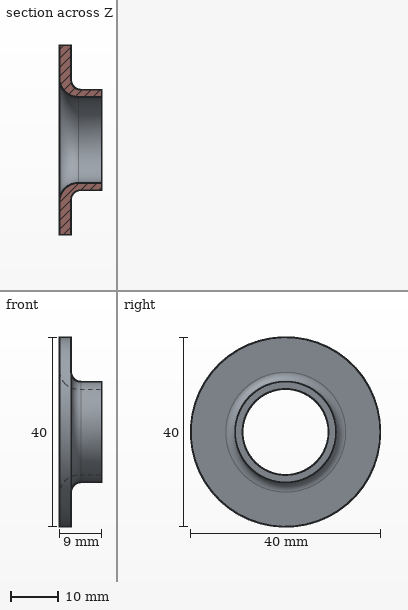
import cadquery as cq

flange_diameter = 40.0
flange_thickness = 2.5
total_length = 9.0
tube_diameter = 21.3
bore_diameter = 18.1
mouth_radius = 4.0
neck_fillet = 2.0

flange_radius = flange_diameter / 2
tube_radius = tube_diameter / 2
bore_radius = bore_diameter / 2

half_section = (
    cq.Workplane("XY")
    .moveTo(0, bore_radius + mouth_radius)
    .lineTo(0, flange_radius)
    .lineTo(flange_thickness, flange_radius)
    .lineTo(flange_thickness, tube_radius + neck_fillet)
    .radiusArc((flange_thickness + neck_fillet, tube_radius), -neck_fillet)
    .lineTo(total_length, tube_radius)
    .lineTo(total_length, bore_radius)
    .lineTo(mouth_radius, bore_radius)
    .radiusArc((0, bore_radius + mouth_radius), mouth_radius)
    .close()
)

result = half_section.revolve(360, (0, 0, 0), (1, 0, 0))